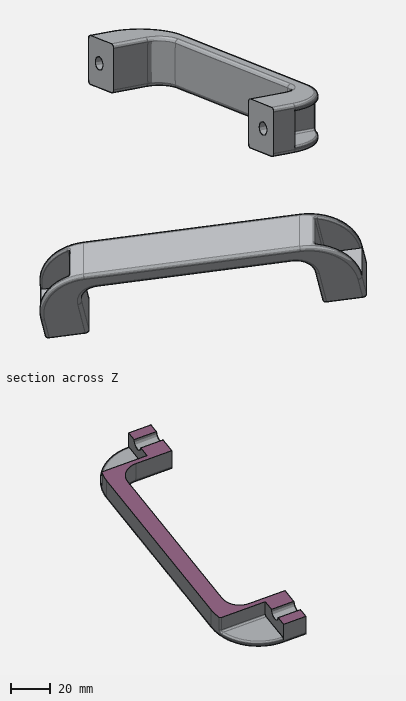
import cadquery as cq

length = 165.0
depth = 40.0
height = 25.8

leg_width = 22.5
bar_thickness = 9.3
outer_radius = 27.0
inner_radius = 10.0
crown_rise = 0.3
edge_fillet = 2.0

flange_thickness = 3.7
pocket_wall = 3.0
pocket_fillet = 1.0

hole_diameter = 6.8
hole_spacing = 146.0

half_length = length / 2
half_gap = half_length - leg_width
bar_inner_y = depth - bar_thickness
pocket_floor_y = depth - outer_radius
pocket_height = height - 2 * flange_thickness
pocket_end_x = half_gap + pocket_wall

margin = 0.1


def slab(x_min, x_max, y_min, y_max, z_size):
    """Box between the given X and Y limits, centred on Z = 0."""
    return (
        cq.Workplane("XY")
        .box(x_max - x_min, y_max - y_min, z_size, centered=(False, False, True))
        .translate((x_min, y_min, 0))
    )


def grip_opening():
    """Space for the fingers: flat between the legs, hollowed where it meets the crowned grip."""
    rim_y = bar_inner_y + crown_rise
    opening = (
        cq.Workplane("YZ")
        .moveTo(-depth, -height / 2)
        .lineTo(rim_y, -height / 2)
        .threePointArc((bar_inner_y, 0), (rim_y, height / 2))
        .lineTo(-depth, height / 2)
        .close()
        .extrude(half_gap, both=True)
    )
    return opening.edges("%CIRCLE").fillet(inner_radius)


def handle_body():
    """U-shaped bar with rounded corners, a crowned grip and rounded long edges."""
    outer = slab(-half_length, half_length, 0, depth, height)
    outer = outer.edges("|Z and >Y").fillet(outer_radius)
    body = outer.cut(grip_opening())
    return body.faces("|Z").edges("not(|X and <Y)").fillet(edge_fillet)


def pocket_cutter():
    """Pocket in the left corner, open to the outside, with rounded edges at its end wall."""
    cutter = slab(-length, -pocket_end_x, pocket_floor_y, 2 * depth, pocket_height)
    return cutter.edges("|Y and >X").fillet(pocket_fillet)


def round_pocket_mouths(body):
    """Round the rim where each pocket breaks through the outer corner surface."""
    half_height = pocket_height / 2 + margin
    half_mouth = (half_length - pocket_end_x) / 2 + margin
    for side in (-1, 1):
        mouth_center_x = side * (half_length + pocket_end_x) / 2
        x_low = mouth_center_x - half_mouth
        x_high = mouth_center_x + half_mouth
        rim = cq.selectors.BoxSelector(
            (x_low, pocket_floor_y + margin, -half_height),
            (x_high, depth + margin, half_height),
        )
        body = body.edges(rim).edges("not |Y").fillet(pocket_fillet)
    return body


def mounting_holes():
    """Round holes through the legs, from the mounting faces to the pocket floors."""
    return (
        cq.Workplane("XZ")
        .pushPoints([(-hole_spacing / 2, 0), (hole_spacing / 2, 0)])
        .circle(hole_diameter / 2)
        .extrude(-pocket_floor_y)
    )


left_pocket = pocket_cutter()
handle = handle_body().cut(left_pocket).cut(left_pocket.mirror("YZ"))
result = round_pocket_mouths(handle).cut(mounting_holes())